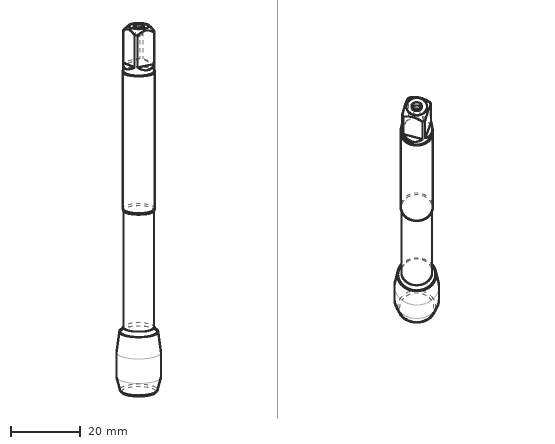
import cadquery as cq
import math

total_height = 110.0
head_chamfer_height = 0.5
head_taper_top = 4.4
head_cylinder_top = 11.8
head_top = 18.0
flare_top = 19.4
grip_bottom = 55.1
grip_bottom_chamfer_height = 0.5
grip_top = 96.2
grip_top_chamfer_height = 0.2
flat_bottom = 98.9

head_diameter = 12.9
head_bottom_diameter = 9.8
head_taper_diameter = 10.9
head_top_diameter = 11.2
flare_diameter = 10.7
neck_diameter = 8.9
grip_diameter = 9.4
drive_diameter = 9.0
drive_tip_diameter = 5.9

square_width = 6.9
centre_hole_diameter = 2.0
centre_hole_depth = 2.8
countersink_diameter = 3.0
countersink_angle = 60.0
drill_tip_angle = 118.0


def revolve_about_z(sketch):
    """Revolve a closed radius-height outline in the XZ plane about the Z axis."""
    return sketch.close().revolve(360, (0, 0, 0), (0, 1, 0))


def make_head():
    """Barrel-shaped working head, tapered towards both ends."""
    outline = cq.Workplane("XZ").polyline([
        (0, 0),
        (head_bottom_diameter / 2, 0),
        (head_taper_diameter / 2, head_chamfer_height),
        (head_diameter / 2, head_taper_top),
        (head_diameter / 2, head_cylinder_top),
        (head_top_diameter / 2, head_top),
        (0, head_top),
    ])
    return revolve_about_z(outline)


def make_shank_blank():
    """Round shank with a conical flare at the head and a chamfered drive end."""
    neck_radius = neck_diameter / 2
    grip_radius = grip_diameter / 2
    drive_radius = drive_diameter / 2
    tip_radius = drive_tip_diameter / 2
    tip_chamfer = drive_radius - tip_radius
    outline = (
        cq.Workplane("XZ")
        .moveTo(0, head_top)
        .lineTo(flare_diameter / 2, head_top)
        .lineTo(neck_radius, flare_top)
        .lineTo(neck_radius, grip_bottom - grip_bottom_chamfer_height)
        .lineTo(grip_radius, grip_bottom)
        .lineTo(grip_radius, grip_top)
        .lineTo(drive_radius, grip_top + grip_top_chamfer_height)
        .lineTo(drive_radius, total_height - tip_chamfer)
        .lineTo(tip_radius, total_height)
        .lineTo(0, total_height)
    )
    return revolve_about_z(outline)


def make_flat_cutter():
    """Cutter for one flat of the square, with a 45 degree run-out at its foot."""
    flat_offset = square_width / 2
    run_out = grip_diameter - flat_offset
    return (
        cq.Workplane("XZ")
        .polyline([
            (flat_offset, flat_bottom),
            (grip_diameter, flat_bottom - run_out),
            (grip_diameter, total_height),
            (flat_offset, total_height),
        ])
        .close()
        .extrude(grip_diameter, both=True)
    )


def make_centre_hole():
    """Cutter for the countersunk hole with a conical drill tip."""
    hole_radius = centre_hole_diameter / 2
    sink_radius = countersink_diameter / 2
    sink_depth = (sink_radius - hole_radius) / math.tan(math.radians(countersink_angle / 2))
    tip_depth = hole_radius / math.tan(math.radians(drill_tip_angle / 2))
    hole_bottom = total_height - centre_hole_depth
    outline = cq.Workplane("XZ").polyline([
        (0, total_height),
        (sink_radius, total_height),
        (hole_radius, total_height - sink_depth),
        (hole_radius, hole_bottom),
        (0, hole_bottom - tip_depth),
    ])
    return revolve_about_z(outline)


def make_shank():
    """Shank with four drive flats and the centre hole."""
    shank = make_shank_blank()
    flat_cutter = make_flat_cutter()
    for angle in (0, 90, 180, 270):
        shank = shank.cut(flat_cutter.rotate((0, 0, 0), (0, 0, 1), angle))
    return shank.cut(make_centre_hole())


head = make_head()
shank = make_shank()

result = cq.Compound.makeCompound([head.val(), shank.val()])